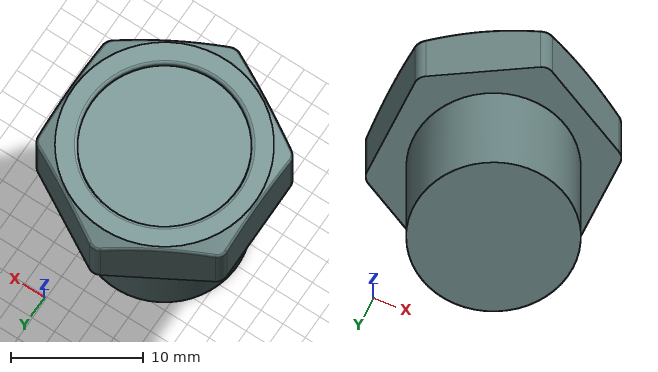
import cadquery as cq
import math

side_count = 6
across_flats = 17.0
head_height = 6.0
corner_radius = 1.0
top_face_diameter = 16.5
bevel_angle = 30.0
bevel_edge_radius = 0.3

shank_diameter = 13.16
shank_length = 10.0

recess_diameter = 13.1
recess_depth = 0.5
recess_rim_radius = 0.25

across_corners = across_flats / math.cos(math.pi / side_count)
total_height = shank_length + head_height


def make_bevel_envelope():
    """Cylinder clearing the hex corners, with its top cut to a cone around the flat top face."""
    top_radius = top_face_diameter / 2
    outer_radius = across_corners / 2 + corner_radius
    bevel_drop = (outer_radius - top_radius) * math.tan(math.radians(bevel_angle))
    return (
        cq.Workplane("YZ")
        .moveTo(0, shank_length)
        .lineTo(outer_radius, shank_length)
        .lineTo(outer_radius, total_height - bevel_drop)
        .lineTo(top_radius, total_height)
        .lineTo(0, total_height)
        .close()
        .revolve(360, (0, 0, 0), (0, 1, 0))
    )


def make_head():
    """Hex prism with flats facing +X and -X, rounded corners and a softened conical bevel."""
    hexagon = (
        cq.Workplane("XY", origin=(0, 0, shank_length))
        .transformed(rotate=(0, 0, 90))
        .polygon(side_count, across_corners)
        .extrude(head_height)
        .edges("|Z")
        .fillet(corner_radius)
    )
    head = hexagon.intersect(make_bevel_envelope())
    bevel_edges = head.faces("%CONE").edges("not (%CIRCLE or %LINE)")
    return bevel_edges.fillet(bevel_edge_radius)


def make_shank():
    """Plain solid cylinder standing on the XY plane and carrying the head."""
    return cq.Workplane("XY").circle(shank_diameter / 2).extrude(shank_length)


def cut_recess(body):
    """Sink the recess into the top face and round its rim outward."""
    wall_radius = recess_diameter / 2
    floor_height = total_height - recess_depth
    profile = (
        cq.Workplane("XZ")
        .moveTo(0, floor_height)
        .lineTo(wall_radius, floor_height)
        .lineTo(wall_radius, total_height - recess_rim_radius)
        .radiusArc((wall_radius + recess_rim_radius, total_height), recess_rim_radius)
        .lineTo(0, total_height)
        .close()
    )
    return body.cut(profile.revolve(360, (0, 0, 0), (0, 1, 0)))


result = cut_recess(make_head().union(make_shank()))